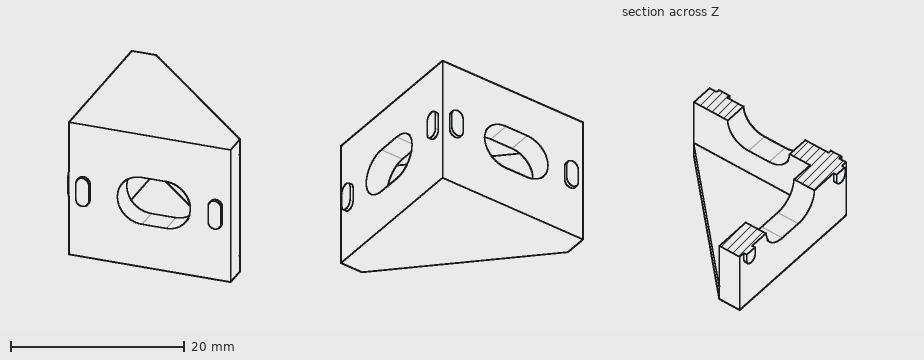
import cadquery as cq

overall = 20.43
height = 17.0
peg_projection = 0.43
leg = overall - peg_projection
wall = 3.0
side_plate = 2.0

slot_length = 9.0
slot_width = 6.0
slot_center = 10.5

peg_length = 3.6
peg_width = 1.6
front_peg_inset = 1.82
left_peg_inset = 1.6


def front_face():
    """Plane of the front wall, facing -Y, centred on mid-height at x = 0."""
    return cq.Workplane("XZ", origin=(0, 0, height / 2))


def left_face():
    """Plane of the left wall, facing -X, with local x running along -Y."""
    return cq.Workplane(cq.Plane((0, 0, height / 2), xDir=(0, -1, 0), normal=(-1, 0, 0)))


def body():
    """Two walls joined by triangular plates, with a sloping open back."""
    outline = [(0, 0), (leg, 0), (leg, wall), (wall, leg), (0, leg)]
    block = cq.Workplane("XY").polyline(outline).close().extrude(height)
    pocket = (
        cq.Workplane("XY", origin=(wall, wall, side_plate))
        .rect(leg, leg, centered=False)
        .extrude(height - 2 * side_plate)
    )
    return block.cut(pocket)


def slot_cutter(face, center):
    """Bolt slot running lengthwise along a wall and through its thickness."""
    return face.center(center, 0).slot2D(slot_length, slot_width).extrude(-wall)


def pegs(face, centers):
    """Upright round-ended locating pegs standing proud of a wall."""
    points = [(center, 0) for center in centers]
    return face.pushPoints(points).slot2D(peg_length, peg_width, 90).extrude(peg_projection)


result = body()
result = result.cut(slot_cutter(front_face(), slot_center))
result = result.cut(slot_cutter(left_face(), -slot_center))
result = result.union(pegs(front_face(), [front_peg_inset, leg - front_peg_inset]))
result = result.union(pegs(left_face(), [-left_peg_inset, left_peg_inset - leg]))